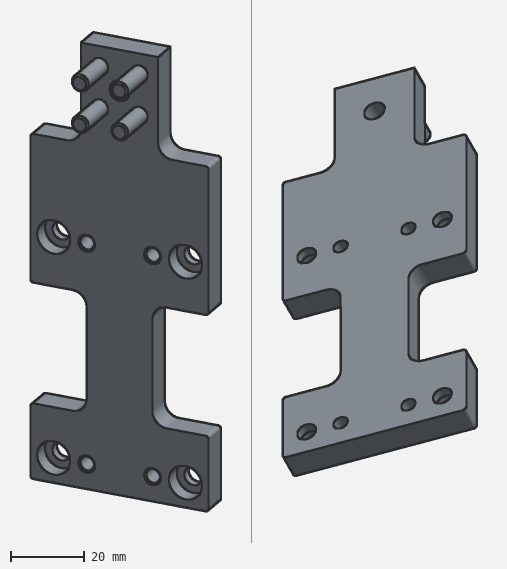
import cadquery as cq

plate_length = 133.0
plate_width = 54.0
plate_thickness = 8.0
head_width = 23.4
waist_width = 20.0
shoulder_height = 103.1
waist_top = 58.7
waist_bottom = 22.6
inner_fillet = 4.3
corner_radius = 1.0

lower_row = 7.5
row_pitch = 66.0
row_heights = [lower_row, lower_row + row_pitch]
screw_spacing = 39.9
screw_diameter = 5.5
counterbore_diameter = 10.0
counterbore_depth = 5.0
small_spacing = 20.0
small_diameter = 4.1
small_mouth_diameter = 5.0

head_hole_height = 120.8
head_hole_diameter = 6.0
pin_diameter = 5.0
pin_spacing_x = 12.0
pin_spacing_z = 12.4
pin_projection = 13.0
pin_chamfer = 0.5

front_face = -plate_thickness
along_y = cq.Vector(0, 1, 0)


def rod(x, z, diameter, y_start, y_end):
    """Cylinder along Y from y_start to y_end."""
    start = cq.Vector(x, y_start, z)
    return cq.Workplane(cq.Solid.makeCylinder(diameter / 2, y_end - y_start, start, along_y))


def block(width, bottom, top):
    """Full-thickness block, centred on X, with its back face at Y = 0."""
    solid = cq.Workplane("XY").box(width, plate_thickness, top - bottom, centered=(True, False, False))
    return solid.translate((0, front_face, bottom))


def fillet_edges_at(body, x, heights, radius):
    """Round the through-thickness edges at +X and -X and the given heights."""
    points = [(side * x, front_face / 2, z) for side in (-1, 1) for z in heights]
    for point in points:
        body = body.edges(cq.NearestToPointSelector(point)).fillet(radius)
    return body


def make_blank():
    """Plate outline: foot, waist, body and head, with rounded corners and no holes."""
    blank = block(plate_width, 0, waist_bottom)
    blank = blank.union(block(waist_width, waist_bottom, waist_top))
    blank = blank.union(block(plate_width, waist_top, shoulder_height))
    blank = blank.union(block(head_width, shoulder_height, plate_length))
    blank = fillet_edges_at(blank, head_width / 2, [shoulder_height], inner_fillet)
    blank = fillet_edges_at(blank, waist_width / 2, [waist_bottom, waist_top], inner_fillet)
    corner_heights = [0, waist_bottom, waist_top, shoulder_height]
    return fillet_edges_at(blank, plate_width / 2, corner_heights, corner_radius)


def counterbored_hole(x, z):
    """Cutter for a through hole counterbored from the front face."""
    bore = rod(x, z, screw_diameter, front_face, 0)
    return bore.union(rod(x, z, counterbore_diameter, front_face, front_face + counterbore_depth))


def chamfered_hole(x, z):
    """Cutter for a through hole with a 45 degree chamfer at the front face."""
    mouth_depth = (small_mouth_diameter - small_diameter) / 2
    mouth = cq.Solid.makeCone(
        small_mouth_diameter / 2, small_diameter / 2, mouth_depth,
        cq.Vector(x, front_face, z), along_y,
    )
    return rod(x, z, small_diameter, front_face, 0).union(cq.Workplane(mouth))


def make_plate():
    """Plate with the head hole and both rows of mounting holes."""
    plate = make_blank().cut(rod(0, head_hole_height, head_hole_diameter, front_face, 0))
    for z in row_heights:
        for side in (-1, 1):
            plate = plate.cut(counterbored_hole(side * screw_spacing / 2, z))
            plate = plate.cut(chamfered_hole(side * small_spacing / 2, z))
    return plate


def make_pin(x, z):
    """Pin standing on the front face of the plate, chamfered at its free end."""
    pin = rod(x, z, pin_diameter, front_face - pin_projection, front_face)
    return pin.faces("<Y").chamfer(pin_chamfer)


plate = make_plate()
pins = [
    make_pin(side_x * pin_spacing_x / 2, head_hole_height + side_z * pin_spacing_z / 2)
    for side_x in (-1, 1)
    for side_z in (-1, 1)
]

result = cq.Compound.makeCompound([plate.val(), *[pin.val() for pin in pins]])